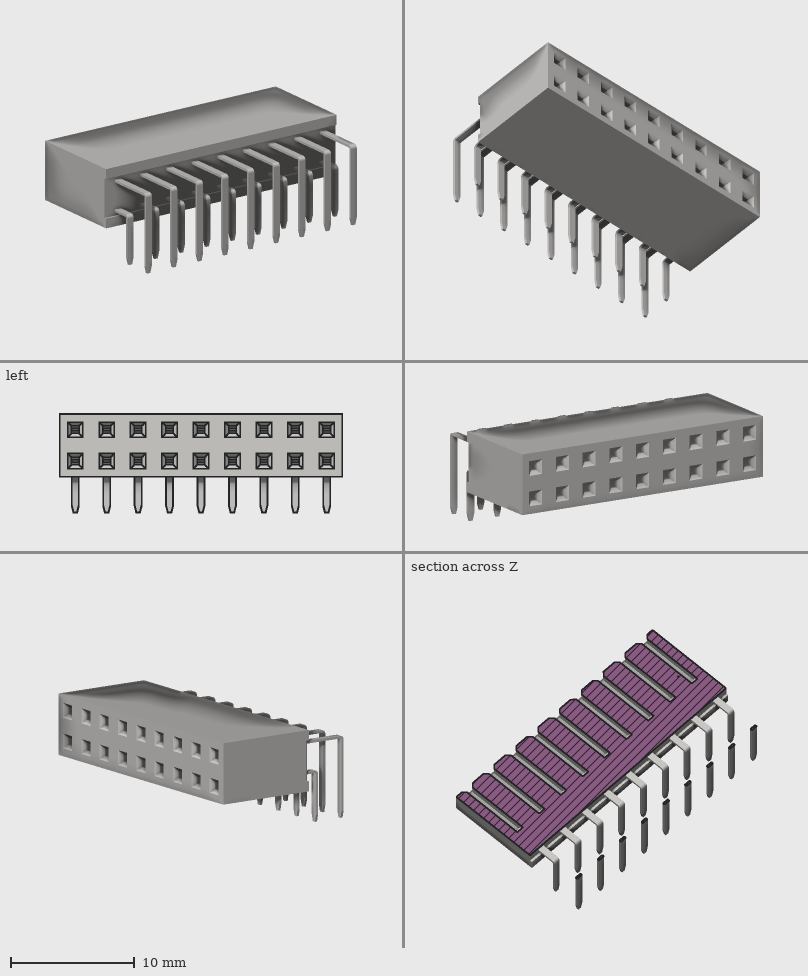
import cadquery as cq


columns = 9
rows = 2
body_width = 22.85
pitch = body_width / columns
body_height = rows * pitch
body_depth = 8.5

channel_depth = 0.2
channel_lip = 0.85

socket_mouth = 1.23
socket_bore = 0.62
lead_in_depth = (socket_mouth - socket_bore) / 2
socket_depth = 5.95

pin_width = 0.6
pin_thickness = 0.2
pin_outer_radius = 0.3
pin_inner_radius = 0.05
pin_drop = 2.9
pin_tip_width = 0.3
pin_tip_length = 0.6
pin_contact_length = 0.23
pin_start = socket_depth - pin_contact_length
long_pin_reach = 12.66


def column_y(column):
    return (column - (columns - 1) / 2) * pitch


def row_z(row):
    return (row + 0.5) * pitch


def make_body():
    body = cq.Workplane("XY").box(body_depth, body_width, body_height, centered=(False, True, False))
    channel = (
        cq.Workplane("XY")
        .box(channel_depth, body_width, body_height - 2 * channel_lip, centered=(False, True, False))
        .translate((body_depth - channel_depth, 0, channel_lip))
    )
    return body.cut(channel)


def make_socket():
    """Square bore with a tapered mouth, centred on the X axis."""
    lead_in = (
        cq.Workplane("YZ")
        .rect(socket_mouth, socket_mouth)
        .workplane(offset=lead_in_depth)
        .rect(socket_bore, socket_bore)
        .loft(ruled=True)
    )
    bore = cq.Workplane("YZ").rect(socket_bore, socket_bore).extrude(socket_depth)
    return lead_in.union(bore)


def make_pin(row):
    """Flat strip leaving the rear of its row, bent down, with its tail tapered to a blunt tip."""
    reach = long_pin_reach - (rows - 1 - row) * pitch
    top = row_z(row) + pin_thickness / 2
    inner_x = reach - pin_thickness
    inner_z = top - pin_thickness
    strip = (
        cq.Workplane("XZ")
        .moveTo(pin_start, top)
        .lineTo(reach - pin_outer_radius, top)
        .radiusArc((reach, top - pin_outer_radius), pin_outer_radius)
        .lineTo(reach, -pin_drop)
        .lineTo(inner_x, -pin_drop)
        .lineTo(inner_x, inner_z - pin_inner_radius)
        .radiusArc((inner_x - pin_inner_radius, inner_z), -pin_inner_radius)
        .lineTo(pin_start, inner_z)
        .close()
        .extrude(pin_width / 2, both=True)
    )
    front_outline = (
        cq.Workplane("YZ")
        .moveTo(-pin_tip_width / 2, -pin_drop)
        .lineTo(pin_tip_width / 2, -pin_drop)
        .lineTo(pin_width / 2, -pin_drop + pin_tip_length)
        .lineTo(pin_width / 2, body_height)
        .lineTo(-pin_width / 2, body_height)
        .lineTo(-pin_width / 2, -pin_drop + pin_tip_length)
        .close()
        .extrude(long_pin_reach)
    )
    return strip.intersect(front_outline)


socket = make_socket()
sockets = cq.Workplane("XY")
pins = cq.Workplane("XY")
for row in range(rows):
    pin = make_pin(row)
    for column in range(columns):
        sockets.add(socket.translate((0, column_y(column), row_z(row))))
        pins.add(pin.translate((0, column_y(column), 0)))

housing = make_body().cut(cq.Compound.makeCompound(sockets.vals()))
result = housing.union(cq.Compound.makeCompound(pins.vals()))